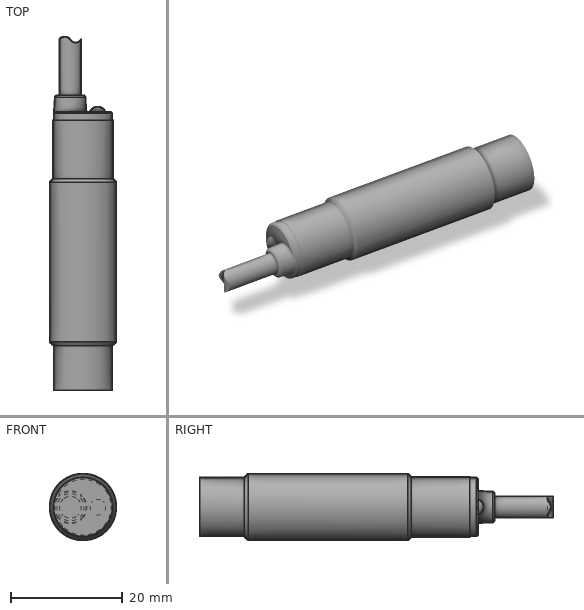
import cadquery as cq
import math

NOSE_LENGTH = 8.0
BARREL_END = 38.0
SLEEVE_END = 48.5
CAP_END = 50.0
BOOT_END = 53.0
CABLE_END = 63.5

NOSE_RADIUS = 10.6 / 2
BARREL_RADIUS = 12.0 / 2
SLEEVE_RADIUS = 10.8 / 2
CAP_RADIUS = 10.6 / 2
BARREL_FRONT_CHAMFER = BARREL_RADIUS - NOSE_RADIUS
BARREL_REAR_CHAMFER = BARREL_RADIUS - SLEEVE_RADIUS
CAP_CHAMFER = 0.3

CABLE_X = -2.3
CABLE_RADIUS = 3.9 / 2
BOOT_RADIUS = 5.6 / 2
BOOT_CHAMFER = 0.35
BOOT_ROOT = CAP_END - CAP_CHAMFER
BOOT_FLARE_START = BOOT_END - BOOT_CHAMFER
BOOT_FLARE_RADIUS = 24.0

CREST_RADIUS = 1.25
TROUGH_RADIUS = 1.1

LAMP_X = 2.65
LAMP_RADIUS = 3.0 / 2
LAMP_HEIGHT = 0.95


def make_body():
    """Revolve the stepped housing: nose, barrel, sleeve and end cap."""
    profile = (
        cq.Workplane("XY")
        .lineTo(NOSE_RADIUS, 0)
        .lineTo(NOSE_RADIUS, NOSE_LENGTH)
        .lineTo(BARREL_RADIUS, NOSE_LENGTH + BARREL_FRONT_CHAMFER)
        .lineTo(BARREL_RADIUS, BARREL_END - BARREL_REAR_CHAMFER)
        .lineTo(SLEEVE_RADIUS, BARREL_END)
        .lineTo(SLEEVE_RADIUS, SLEEVE_END)
        .lineTo(CAP_RADIUS, SLEEVE_END)
        .lineTo(CAP_RADIUS, CAP_END - CAP_CHAMFER)
        .lineTo(CAP_RADIUS - CAP_CHAMFER, CAP_END)
        .lineTo(0, CAP_END)
        .close()
    )
    return profile.revolve(360, (0, 0, 0), (0, 1, 0))


def make_boot():
    """Revolve the boot: chamfered rim, concave flared side, rooted inside the cap."""
    flare_height = BOOT_FLARE_START - BOOT_ROOT
    flare_angle = math.asin(flare_height / BOOT_FLARE_RADIUS)
    mid_drop = BOOT_FLARE_RADIUS * math.sin(flare_angle / 2)
    mid_spread = BOOT_FLARE_RADIUS * (1 - math.cos(flare_angle / 2))
    foot_spread = BOOT_FLARE_RADIUS * (1 - math.cos(flare_angle))
    profile = (
        cq.Workplane("XY")
        .moveTo(0, BOOT_ROOT)
        .lineTo(BOOT_RADIUS + foot_spread, BOOT_ROOT)
        .threePointArc(
            (BOOT_RADIUS + mid_spread, BOOT_FLARE_START - mid_drop),
            (BOOT_RADIUS, BOOT_FLARE_START),
        )
        .lineTo(BOOT_RADIUS - BOOT_CHAMFER, BOOT_END)
        .lineTo(0, BOOT_END)
        .close()
    )
    return profile.revolve(360, (0, 0, 0), (0, 1, 0)).translate((CABLE_X, 0, 0))


def make_cable():
    """Round cable whose free end is trimmed to an S-shaped break."""
    half_width = CABLE_RADIUS / 2
    crest_rise = CREST_RADIUS - math.sqrt(CREST_RADIUS**2 - half_width**2)
    trough_drop = TROUGH_RADIUS - math.sqrt(TROUGH_RADIUS**2 - half_width**2)
    break_level = CABLE_END - crest_rise
    left = CABLE_X - CABLE_RADIUS
    right = CABLE_X + CABLE_RADIUS
    outline = (
        cq.Workplane("XY")
        .moveTo(left, SLEEVE_END)
        .lineTo(left, break_level)
        .threePointArc((left + half_width, CABLE_END), (CABLE_X, break_level))
        .threePointArc((right - half_width, break_level - trough_drop), (right, break_level))
        .lineTo(right, SLEEVE_END)
        .close()
        .extrude(CABLE_RADIUS, both=True)
    )
    round_bar = (
        cq.Workplane("XZ", origin=(CABLE_X, SLEEVE_END, 0))
        .circle(CABLE_RADIUS)
        .extrude(SLEEVE_END - CABLE_END)
    )
    return round_bar.intersect(outline)


def make_lamp():
    """Spherical indicator lamp showing as a dome above the cap."""
    centre_y = CAP_END + LAMP_HEIGHT - LAMP_RADIUS
    return cq.Workplane("XY", origin=(LAMP_X, centre_y, 0)).sphere(LAMP_RADIUS)


result = make_body().union(make_boot()).union(make_cable()).union(make_lamp())